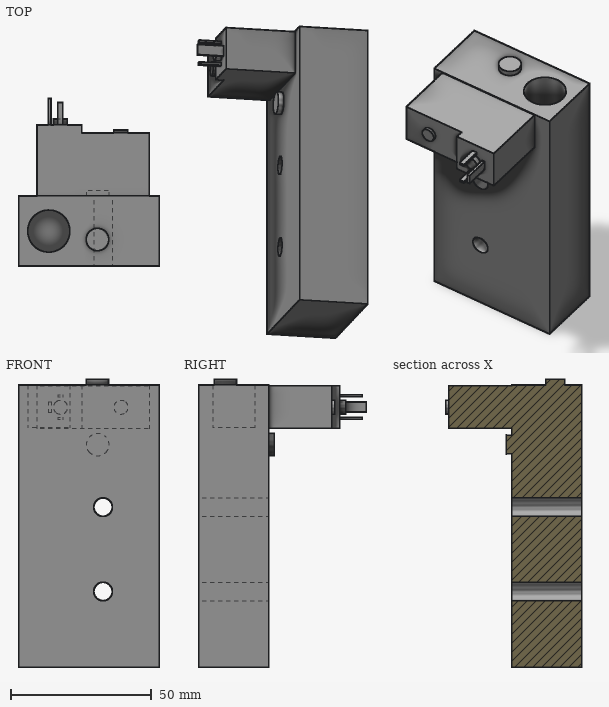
import cadquery as cq

BODY_WIDTH = 50.0
BODY_DEPTH = 25.0
BODY_HEIGHT = 100.5

MOUNT_HOLE_DIA = 6.5
MOUNT_HOLE_X = 5.0
MOUNT_HOLE_LOW_Z = 27.0
MOUNT_HOLE_PITCH = 30.0

PORT_DIA = 15.0
PORT_DEPTH = 15.0
PORT_X = -14.3
PORT_Y = BODY_DEPTH / 2

PLUG_DIA = 8.0
PLUG_HEIGHT = 2.0
PLUG_X = 3.0
TOP_PLUG_Y = 9.5
BACK_PLUG_Z = 79.3

SOLENOID_LEFT = -18.5
SOLENOID_WIDTH = 40.0
SOLENOID_HEIGHT = 15.2
SOLENOID_DEPTH = 25.3
SOLENOID_TOP_GAP = 0.3
CONNECTOR_SIDE_WIDTH = 16.0
STEP_DEPTH = 2.9

STUD_DIA = 5.0
CONNECTOR_STUD_X = -10.2
CONNECTOR_STUD_HEIGHT = 2.1
STEP_STUD_X = 11.3
STEP_STUD_HEIGHT = 1.1

EARTH_BLADE_X = -14.0
EARTH_BLADE_THICKNESS = 1.1
EARTH_BLADE_WIDTH = 3.7
EARTH_BLADE_LENGTH = 9.4
POWER_BLADE_THICKNESS = 0.8
POWER_BLADE_WIDTH = 1.9
POWER_BLADE_LENGTH = 8.0
POWER_BLADE_PITCH = 8.0

SOLENOID_MID_Z = BODY_HEIGHT - SOLENOID_TOP_GAP - SOLENOID_HEIGHT / 2
SOLENOID_BACK_Y = BODY_DEPTH + SOLENOID_DEPTH
STEP_Y = SOLENOID_BACK_Y - STEP_DEPTH

Y_AXIS = cq.Vector(0, 1, 0)
Z_AXIS = cq.Vector(0, 0, 1)


def cylinder(diameter, length, start, direction):
    """Round bar running from the start point along the direction."""
    return cq.Workplane(cq.Solid.makeCylinder(diameter / 2, length, cq.Vector(*start), direction))


def blade(x, z, x_size, z_size, length):
    """Rectangular terminal standing out of the back of the solenoid."""
    return (
        cq.Workplane("XY")
        .box(x_size, length, z_size, centered=(True, False, True))
        .translate((x, SOLENOID_BACK_Y, z))
    )


def make_body():
    body = cq.Workplane("XY").box(BODY_WIDTH, BODY_DEPTH, BODY_HEIGHT, centered=(True, False, False))
    for index in range(2):
        hole_z = MOUNT_HOLE_LOW_Z + index * MOUNT_HOLE_PITCH
        body = body.cut(cylinder(MOUNT_HOLE_DIA, BODY_DEPTH, (MOUNT_HOLE_X, 0, hole_z), Y_AXIS))
    port_start = (PORT_X, PORT_Y, BODY_HEIGHT - PORT_DEPTH)
    return body.cut(cylinder(PORT_DIA, PORT_DEPTH, port_start, Z_AXIS))


def make_plugs():
    top_plug = cylinder(PLUG_DIA, PLUG_HEIGHT, (PLUG_X, TOP_PLUG_Y, BODY_HEIGHT), Z_AXIS)
    back_plug = cylinder(PLUG_DIA, PLUG_HEIGHT, (PLUG_X, BODY_DEPTH, BACK_PLUG_Z), Y_AXIS)
    return [top_plug, back_plug]


def make_solenoid():
    right = SOLENOID_LEFT + SOLENOID_WIDTH
    step_x = SOLENOID_LEFT + CONNECTOR_SIDE_WIDTH
    return (
        cq.Workplane("XY", origin=(0, 0, SOLENOID_MID_Z))
        .moveTo(SOLENOID_LEFT, BODY_DEPTH)
        .lineTo(right, BODY_DEPTH)
        .lineTo(right, STEP_Y)
        .lineTo(step_x, STEP_Y)
        .lineTo(step_x, SOLENOID_BACK_Y)
        .lineTo(SOLENOID_LEFT, SOLENOID_BACK_Y)
        .close()
        .extrude(SOLENOID_HEIGHT / 2, both=True)
    )


def make_studs():
    connector_start = (CONNECTOR_STUD_X, SOLENOID_BACK_Y, SOLENOID_MID_Z)
    step_start = (STEP_STUD_X, STEP_Y, SOLENOID_MID_Z)
    return [
        cylinder(STUD_DIA, CONNECTOR_STUD_HEIGHT, connector_start, Y_AXIS),
        cylinder(STUD_DIA, STEP_STUD_HEIGHT, step_start, Y_AXIS),
    ]


def make_terminals():
    earth = blade(
        EARTH_BLADE_X, SOLENOID_MID_Z, EARTH_BLADE_THICKNESS, EARTH_BLADE_WIDTH, EARTH_BLADE_LENGTH
    )
    terminals = [earth]
    for side in (-1, 1):
        z = SOLENOID_MID_Z + side * POWER_BLADE_PITCH / 2
        terminals.append(
            blade(CONNECTOR_STUD_X, z, POWER_BLADE_WIDTH, POWER_BLADE_THICKNESS, POWER_BLADE_LENGTH)
        )
    return terminals


result = make_body().union(make_solenoid())
for addition in make_plugs() + make_studs() + make_terminals():
    result = result.union(addition)